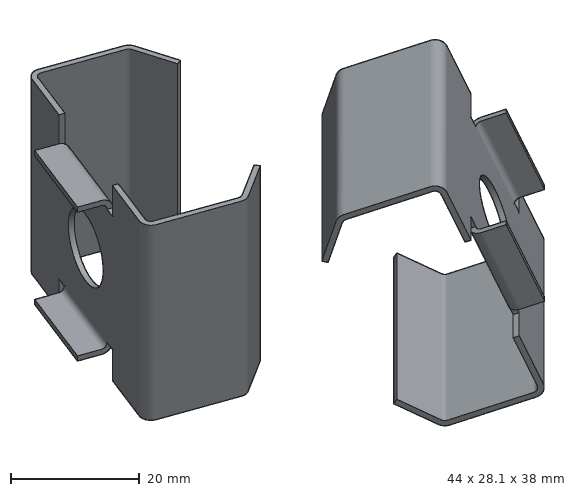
import cadquery as cq
import math

width = 44.0
height = 38.0
thickness = 1.0
inner_radius = 1.0
outer_radius = inner_radius + thickness

side_bend_start = 16.5
lip_turn = math.radians(52)
lip_length = 8.0

hole_diameter = 13.0
notch_width = 19.98
web_height = 25.95
tab_width = 16.0
tab_reach = 5.05


def make_half_channel():
    """Left half of the channel: half plate, side wall and inward lip."""
    bend_x = -width / 2 + outer_radius

    def lip_bend_point(radius, angle):
        return (
            bend_x - radius * math.cos(angle),
            side_bend_start + radius * math.sin(angle),
        )

    def corner_middle(radius):
        offset = radius * math.sqrt(0.5)
        return (bend_x - offset, outer_radius - offset)

    def lip_tip(radius):
        x, y = lip_bend_point(radius, lip_turn)
        return (x + lip_length * math.sin(lip_turn), y + lip_length * math.cos(lip_turn))

    return (
        cq.Workplane("XY")
        .workplane(offset=-height / 2)
        .moveTo(0, 0)
        .lineTo(bend_x, 0)
        .threePointArc(corner_middle(outer_radius), (-width / 2, outer_radius))
        .lineTo(-width / 2, side_bend_start)
        .threePointArc(lip_bend_point(outer_radius, lip_turn / 2), lip_bend_point(outer_radius, lip_turn))
        .lineTo(*lip_tip(outer_radius))
        .lineTo(*lip_tip(inner_radius))
        .lineTo(*lip_bend_point(inner_radius, lip_turn))
        .threePointArc(lip_bend_point(inner_radius, lip_turn / 2), lip_bend_point(inner_radius, 0))
        .lineTo(-width / 2 + thickness, outer_radius)
        .threePointArc(corner_middle(inner_radius), (bend_x, thickness))
        .lineTo(0, thickness)
        .close()
        .extrude(height)
    )


def make_upper_notch():
    """Cutter that opens the plate's upper edge around the tab."""
    depth = (height - web_height) / 2
    return cq.Workplane("XY").box(notch_width, 2 * thickness, depth).translate(
        (0, thickness / 2, (web_height + depth) / 2)
    )


def make_upper_tab():
    """Tab curving forward from the plate's upper edge, then running straight to -Y."""
    bend_z = web_height / 2
    bend_y = -inner_radius

    def bend_middle(radius):
        offset = radius * math.sqrt(0.5)
        return (bend_y + offset, bend_z + offset)

    return (
        cq.Workplane("YZ")
        .moveTo(0, bend_z)
        .threePointArc(bend_middle(inner_radius), (bend_y, bend_z + inner_radius))
        .lineTo(-tab_reach, bend_z + inner_radius)
        .lineTo(-tab_reach, bend_z + outer_radius)
        .lineTo(bend_y, bend_z + outer_radius)
        .threePointArc(bend_middle(outer_radius), (thickness, bend_z))
        .close()
        .extrude(tab_width / 2, both=True)
    )


left_half = make_half_channel()
result = left_half.union(left_half.mirror("YZ"))

notch = make_upper_notch()
tab = make_upper_tab()
result = result.cut(notch).cut(notch.mirror("XY"))
result = result.union(tab).union(tab.mirror("XY"))

hole = cq.Workplane("XZ").circle(hole_diameter / 2).extrude(2 * thickness, both=True)
result = result.cut(hole)